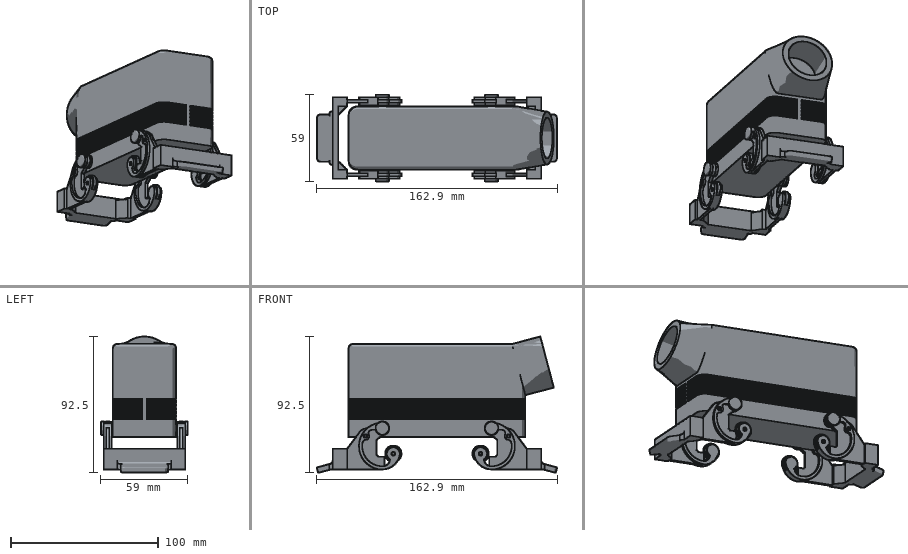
import cadquery as cq
import math

HOOD_LENGTH = 120.0
HOOD_WIDTH = 43.0
HOOD_HEIGHT = 63.3
HOOD_CORNER_RADIUS = 6.0
HOOD_TOP_FILLET = 3.0

GROOVE_COUNT = 6
GROOVE_PITCH = 2.5
GROOVE_WIDTH = 1.5
GROOVE_DEPTH = 0.5
LOWEST_GROOVE_Z = 13.0
GROOVE_GAP = 3.2

OUTLET_TILT = 14.8
OUTLET_DIAMETER = 36.0
OUTLET_LENGTH = 20.0
OUTLET_BORE = 27.6

PIVOT_X = -37.0
PIVOT_Z = 6.1
RING_RADIUS = 15.9
RING_WIDTH = 2.2
RING_DROP = 12.1
ARM_PLANE_Y = 24.95
RING_TOP_ANGLE = 101.0
RING_INNER_END_ANGLE = 172.0
RING_SIDE_ANGLE = 180.0
RING_INNER_MIDDLE_ANGLE = 225.0
PLATE_THICKNESS = 2.2
RING_THICKNESS = 5.6
PIVOT_DISC_RADIUS = 4.65
BOSS_RADIUS = 4.4
HEAD_FILLET = 0.9
PIVOT_PIN_RADIUS = 2.7
DIMPLE_RADIUS = 1.0
DIMPLE_CHAMFER = 0.25
DIMPLE_DEPTH = 1.0
DIMPLE_TAPER = 45.0
HOOK_DISC_RADIUS = 5.6
HOOK_DISC_OFFSET = (7.4, -5.2)
RIVET_OFFSET = (-11.6, 6.75)
RIVET_BOSS_RADIUS = 2.6
RIVET_BOSS_ANGLES = (36.0, -4.0, -70.0)
RIVET_FILLET_MIDDLE = (-12.8, 3.5)
SHOULDER_MIDDLE = (-8.8, 10.2)
SHOULDER_END = (-7.1, 11.0)
SHOULDER_LENGTH = 2.9
THROAT_MIDDLE = (3.4, -12.4)
THROAT_END = (5.0, -9.8)
PLATE_CORNER_START = (-16.1, 8.6)
PLATE_CORNER_MIDDLE = (-14.2, 10.8)
PLATE_CORNER_END = (-11.7, 11.9)
PLATE_MERGE_ANGLE = 128.5
PLATE_NOTCH = [(0.3, 7.4), (-3.9, 4.2), (-3.9, -5.8), (-2.7, -7.1), (1.6, -7.1), (1.6, -13.5)]

RING_X = PIVOT_X
RING_Z = PIVOT_Z - RING_DROP
LEVER_BOTTOM = RING_Z - RING_RADIUS

BAR_OUTER_X = -70.8
BAR_THICKNESS = 4.0
BAR_END_LENGTH = 9.9
BAR_WIDTH = 55.5
BAR_OPENING = 43.0
BAR_HEIGHT = 14.2
GUSSET_LEG = 5.8
GUSSET_DROP = 1.0
HANDLE_WIDTH = 32.2
HANDLE_THICKNESS = 3.9
HANDLE_TILT = 15.0
HANDLE_CORNER_RADIUS = 2.5
HANDLE_EDGE_FILLET = 0.8
HANDLE_ROOT_FLARE = 2.2

BAR_TOP = LEVER_BOTTOM + BAR_HEIGHT
BAR_END_X = BAR_OUTER_X + BAR_END_LENGTH

OVERALL_LENGTH = 162.87
OVERALL_WIDTH = 59.0
OVERALL_HEIGHT = 92.46
PIVOT_HEAD_Y = OVERALL_WIDTH / 2
OUTLET_TOP = HOOD_HEIGHT + OUTLET_LENGTH * math.sin(math.radians(OUTLET_TILT))
HANDLE_BOTTOM = OUTLET_TOP - OVERALL_HEIGHT


def hood_outline(z):
    """Rounded rectangle of the hood at height z."""
    return (
        cq.Workplane("XY", origin=(0, 0, z))
        .sketch()
        .rect(HOOD_LENGTH, HOOD_WIDTH)
        .vertices()
        .fillet(HOOD_CORNER_RADIUS)
        .finalize()
    )


def outlet_frame():
    """Plane of the tilted cut: local x runs along Y, local y up the slope, normal out of the outlet."""
    tilt = math.radians(OUTLET_TILT)
    half = OUTLET_DIAMETER / 2
    center = (
        HOOD_LENGTH / 2 - half * math.sin(tilt),
        0,
        HOOD_HEIGHT - half * math.cos(tilt),
    )
    return cq.Plane(origin=center, xDir=(0, 1, 0), normal=(math.cos(tilt), 0, math.sin(tilt)))


def make_hood_body():
    """Rounded block with one upper end cut off at the slope of the outlet."""
    body = hood_outline(0).extrude(HOOD_HEIGHT)
    body = body.faces(">Z").edges().fillet(HOOD_TOP_FILLET)
    beyond_cut = cq.Workplane(outlet_frame()).rect(2 * HOOD_WIDTH, OUTLET_DIAMETER).extrude(HOOD_LENGTH)
    return body.cut(beyond_cut)


def groove_cutter(z):
    """V-groove ring around the hood, interrupted at the middle of both end walls."""
    half = GROOVE_WIDTH / 2
    taper = math.degrees(math.atan2(GROOVE_DEPTH, half))
    slab = cq.Workplane("XY", origin=(0, 0, z - half))
    slab = slab.rect(2 * HOOD_LENGTH, 2 * HOOD_WIDTH).extrude(GROOVE_WIDTH)
    lower_core = hood_outline(z - half).extrude(half, taper=taper)
    upper_core = lower_core.mirror("XY", (0, 0, z))
    gap = cq.Workplane("XY", origin=(0, 0, z)).box(2 * HOOD_LENGTH, GROOVE_GAP, GROOVE_WIDTH)
    return slab.cut(lower_core).cut(upper_core).cut(gap)


def outlet_root_points():
    """Half outline of the tilted cut, as (across, up-slope) points from the top corner down."""
    tilt = math.radians(OUTLET_TILT)
    half = OUTLET_DIAMETER / 2
    side = HOOD_WIDTH / 2
    fillet_drop = HOOD_TOP_FILLET / math.cos(tilt)
    corner_rise = HOOD_CORNER_RADIUS / math.sin(tilt)
    return [
        (side - HOOD_TOP_FILLET, half),
        (side, half - fillet_drop),
        (side, corner_rise - half),
        (side - HOOD_CORNER_RADIUS, -half),
    ]


def make_outlet(hood):
    """Loft from the cut face of the hood to a round collar whose arcs end opposite the root corners."""
    frame = outlet_frame()
    root = hood.faces(cq.selectors.NearestToPointSelector(frame.origin.toTuple())).val().outerWire()
    right = [math.atan2(v, u) for u, v in outlet_root_points()]
    left = [math.pi - a for a in reversed(right)]
    angles = right + [a - 2 * math.pi for a in left]
    radius = OUTLET_DIAMETER / 2

    def rim(angle):
        return (radius * math.cos(angle), radius * math.sin(angle))

    collar = cq.Workplane(frame).workplane(offset=OUTLET_LENGTH).moveTo(*rim(angles[0]))
    for start, end in zip(angles, angles[1:] + [angles[0] - 2 * math.pi]):
        collar = collar.threePointArc(rim((start + end) / 2), rim(end))
    collar_wire = collar.close().wires().val()
    return cq.Workplane(cq.Solid.makeLoft([root, collar_wire], True))


def make_hood():
    """Hood with its bored cable outlet and grip grooves."""
    hood = make_hood_body()
    hood = hood.union(make_outlet(hood))
    for i in range(GROOVE_COUNT):
        hood = hood.cut(groove_cutter(LOWEST_GROOVE_Z + i * GROOVE_PITCH))
    bore = cq.Workplane(outlet_frame()).circle(OUTLET_BORE / 2).extrude(OUTLET_LENGTH)
    return hood.cut(bore)


def arm_workplane(y=ARM_PLANE_Y):
    """XZ sketch plane centred on the ring of the lever arm, extruding toward -Y."""
    return cq.Workplane(cq.Plane(origin=(RING_X, y, RING_Z), xDir=(1, 0, 0), normal=(0, -1, 0)))


def arm_disc(center, radius, thickness):
    """Disc centred on the mid-plane of the arm."""
    return arm_workplane().center(*center).circle(radius).extrude(thickness / 2, both=True)


def ring_point(radius, degrees):
    """Point on a circle about the ring centre."""
    angle = math.radians(degrees)
    return (radius * math.cos(angle), radius * math.sin(angle))


def hook_outer_arc():
    """Middle and end of the arc that leaves the ring bottom level and runs tangent into the hook boss."""
    disc_x, disc_z = HOOK_DISC_OFFSET
    rise = disc_z + RING_RADIUS
    radius = (disc_x**2 + rise**2 - BOSS_RADIUS**2) / (2 * (rise - BOSS_RADIUS))
    center_z = radius - RING_RADIUS
    end = math.atan2(disc_z - center_z, disc_x)
    middle = (end - math.pi / 2) / 2
    return [(radius * math.cos(a), center_z + radius * math.sin(a)) for a in (middle, end)]


def make_ring():
    """C-shaped band from the pivot around to the hook."""
    inner = RING_RADIUS - RING_WIDTH
    hook_middle, hook_end = hook_outer_arc()
    rivet_x, rivet_z = RIVET_OFFSET
    boss_exit, boss_middle, boss_entry = [
        (rivet_x + px, rivet_z + pz)
        for px, pz in [ring_point(RIVET_BOSS_RADIUS, angle) for angle in RIVET_BOSS_ANGLES]
    ]
    profile = (
        arm_workplane()
        .moveTo(0, RING_DROP)
        .lineTo(*ring_point(RING_RADIUS, RING_TOP_ANGLE))
        .threePointArc(ring_point(RING_RADIUS, RING_SIDE_ANGLE), (0, -RING_RADIUS))
        .threePointArc(hook_middle, hook_end)
        .lineTo(*HOOK_DISC_OFFSET)
        .lineTo(*THROAT_END)
        .threePointArc(THROAT_MIDDLE, (0, -inner))
        .threePointArc(
            ring_point(inner, RING_INNER_MIDDLE_ANGLE),
            ring_point(inner, RING_INNER_END_ANGLE),
        )
        .threePointArc(RIVET_FILLET_MIDDLE, boss_entry)
        .threePointArc(boss_middle, boss_exit)
        .threePointArc(SHOULDER_MIDDLE, SHOULDER_END)
        .lineTo(SHOULDER_END[0] + SHOULDER_LENGTH, SHOULDER_END[1])
        .close()
    )
    return profile.extrude(RING_THICKNESS / 2, both=True)


def make_plate():
    """Thin web that carries the ring and reaches back to the bar."""
    bar_x = BAR_END_X - RING_X
    bar_top = BAR_TOP - RING_Z
    profile = (
        arm_workplane()
        .moveTo(bar_x, -RING_RADIUS)
        .lineTo(bar_x, bar_top)
        .lineTo(*PLATE_CORNER_START)
        .threePointArc(PLATE_CORNER_MIDDLE, PLATE_CORNER_END)
        .lineTo(*ring_point(RING_RADIUS, PLATE_MERGE_ANGLE))
        .lineTo(0, RING_DROP)
        .polyline(PLATE_NOTCH, includeCurrent=True)
        .lineTo(0, -RING_RADIUS)
        .close()
    )
    return profile.extrude(PLATE_THICKNESS / 2, both=True)


def make_arm():
    """Lever arm on the +Y side."""
    pivot = (0, RING_DROP)
    arm = make_plate().union(make_ring())
    arm = arm.union(arm_disc(pivot, PIVOT_DISC_RADIUS, PLATE_THICKNESS))
    arm = arm.union(arm_disc(pivot, BOSS_RADIUS, RING_THICKNESS))
    arm = arm.union(arm_disc(HOOK_DISC_OFFSET, HOOK_DISC_RADIUS, PLATE_THICKNESS))
    arm = arm.union(arm_disc(HOOK_DISC_OFFSET, BOSS_RADIUS, RING_THICKNESS))

    outer_face_y = ARM_PLANE_Y + RING_THICKNESS / 2
    head = arm_workplane(outer_face_y).center(*pivot).circle(PIVOT_DISC_RADIUS)
    head = head.extrude(outer_face_y - PIVOT_HEAD_Y).faces(">Y").edges().fillet(HEAD_FILLET)
    pin_start_y = HOOD_WIDTH / 2 - HOOD_TOP_FILLET
    pin = arm_workplane(pin_start_y).center(*pivot).circle(PIVOT_PIN_RADIUS)
    pin = pin.extrude(pin_start_y - ARM_PLANE_Y)
    arm = arm.union(head).union(pin)

    dimples = arm_workplane(outer_face_y).pushPoints([RIVET_OFFSET, HOOK_DISC_OFFSET])
    dimples = dimples.circle(DIMPLE_RADIUS).extrude(DIMPLE_DEPTH)
    countersinks = arm_workplane(outer_face_y).pushPoints([RIVET_OFFSET, HOOK_DISC_OFFSET])
    countersinks = countersinks.circle(DIMPLE_RADIUS + DIMPLE_CHAMFER)
    countersinks = countersinks.extrude(DIMPLE_CHAMFER, taper=DIMPLE_TAPER)
    return arm.cut(dimples).cut(countersinks)


def handle_side_profile():
    """Side shape of the handle: a down-tilted plate whose upper face sweeps up into the bar."""
    tilt = math.radians(HANDLE_TILT)
    rounding_loss = HANDLE_EDGE_FILLET * (math.cos(tilt) + math.sin(tilt) - 1)
    tip_x = -OVERALL_LENGTH / 2 - rounding_loss
    tip_bottom = (
        tip_x + HANDLE_THICKNESS * math.sin(tilt),
        HANDLE_BOTTOM - rounding_loss,
    )
    tip_top = (tip_x, tip_bottom[1] + HANDLE_THICKNESS * math.cos(tilt))
    level_x = tip_bottom[0] + (LEVER_BOTTOM - tip_bottom[1]) / math.tan(tilt)
    inside_x = BAR_OUTER_X + BAR_THICKNESS / 2

    root_z = tip_top[1] + (BAR_OUTER_X - tip_x) * math.tan(tilt)
    tangent_length = HANDLE_ROOT_FLARE * math.tan((math.pi / 2 - tilt) / 2)
    flare_top = (BAR_OUTER_X, root_z + tangent_length)
    flare_end = (BAR_OUTER_X - tangent_length * math.cos(tilt), root_z - tangent_length * math.sin(tilt))
    return (
        cq.Workplane("XZ")
        .moveTo(inside_x, LEVER_BOTTOM)
        .lineTo(level_x, LEVER_BOTTOM)
        .lineTo(*tip_bottom)
        .lineTo(*tip_top)
        .lineTo(*flare_end)
        .tangentArcPoint(flare_top, relative=False)
        .lineTo(inside_x, flare_top[1])
        .close()
        .extrude(HANDLE_WIDTH, both=True)
    )


def handle_plan_profile():
    """Plan shape of the handle: a straight tip and sides that sweep out into the bar."""
    half = HANDLE_WIDTH / 2
    flare = HANDLE_ROOT_FLARE
    inside_x = BAR_OUTER_X + BAR_THICKNESS / 2
    tip_x = -OVERALL_LENGTH
    return (
        cq.Workplane("XY")
        .moveTo(inside_x, half + flare)
        .lineTo(BAR_OUTER_X, half + flare)
        .radiusArc((BAR_OUTER_X - flare, half), -flare)
        .lineTo(tip_x, half)
        .lineTo(tip_x, -half)
        .lineTo(BAR_OUTER_X - flare, -half)
        .radiusArc((BAR_OUTER_X, -half - flare), -flare)
        .lineTo(inside_x, -half - flare)
        .close()
        .extrude(HOOD_HEIGHT, both=True)
    )


def make_handle():
    """Finger plate on the outer face of the bar, with all exposed edges rounded."""
    handle = handle_side_profile().intersect(handle_plan_profile())
    handle = handle.faces("<X").edges("not |Y").fillet(HANDLE_CORNER_RADIUS)
    return handle.faces("<X").edges("|Y").fillet(HANDLE_EDGE_FILLET)


def make_gusset():
    """Triangular corner rib on the +Y side of the bar."""
    inner_x = BAR_OUTER_X + BAR_THICKNESS
    y = BAR_OPENING / 2
    return (
        cq.Workplane("XY", origin=(0, 0, LEVER_BOTTOM))
        .polyline([(inner_x, y), (BAR_END_X, y), (inner_x, y - GUSSET_LEG)])
        .close()
        .extrude(BAR_HEIGHT - GUSSET_DROP)
    )


def make_bar():
    """U-shaped cross bar with handle and corner gussets."""
    base = cq.Workplane("XY", origin=(0, 0, LEVER_BOTTOM))
    corner = (False, True, False)
    bar = base.center(BAR_OUTER_X, 0).box(BAR_END_LENGTH, BAR_WIDTH, BAR_HEIGHT, centered=corner)
    opening = base.center(BAR_OUTER_X + BAR_THICKNESS, 0)
    bar = bar.cut(opening.box(BAR_END_LENGTH, BAR_OPENING, BAR_HEIGHT, centered=corner))

    bar = bar.union(make_handle())
    gusset = make_gusset()
    return bar.union(gusset).union(gusset.mirror("XZ"))


def make_lever():
    """Complete lever at the -X end: bar, handle and both arms."""
    arm = make_arm()
    return make_bar().union(arm).union(arm.mirror("XZ"))


lever = make_lever()
result = make_hood().union(lever).union(lever.mirror("YZ"))